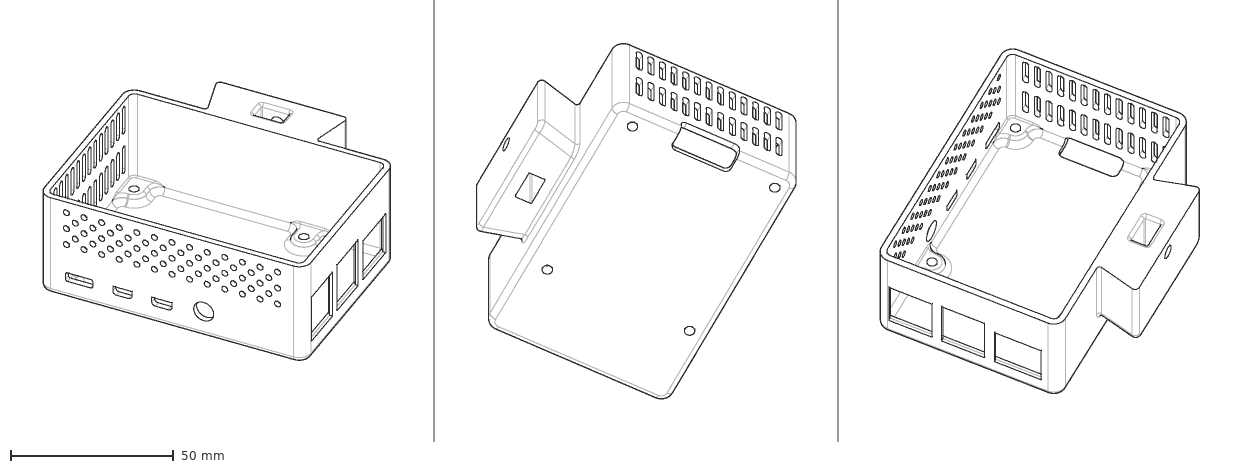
import cadquery as cq
import math


length = 91.0
width = 63.0
height = 36.2
corner_radius = 4.0
bottom_radius = 2.0
end_wall = 2.1
side_wall = 2.0
floor = 2.0
cavity_radius = 2.0
floor_fillet = 1.9

screw_left_x = -39.6
screw_front_y = -25.6
screw_pitch_x = 58.0
screw_pitch_y = 49.0
screw_diameter = 3.2
boss_radius = 4.1
boss_height = 3.0
boss_top_fillet = 1.0
boss_flare = 3.5
boss_wall_fillet = 0.55

vent_diameter = 2.0
vent_columns = 13
vent_rows = 5
vent_pitch = 6.0
vent_top_offset = 4.0

slot_width = 2.0
slot_length = 10.0
slot_count = 13
slot_pitch = 4.0
slot_rows_z = (14.4, 29.3)

port_bottom = 6.5
power_x = -31.7
power_width = 9.3
power_height = 3.2
power_radius = 0.7
video_ports = ((-16.9, 6.55), (-3.5, 6.9))
video_height = 3.0
video_radius = 1.3
jack_x = 10.8
jack_z = 9.6
jack_diameter = 6.8

windows = ((17.1, 16.0, 20.9), (-1.6, 14.7, 23.6), (-19.7, 14.7, 22.9))
window_bottom = 6.4
bevel_side = 1.5
bevel_top = 1.8
bevel_bottom = 0.2
bevel_depth = 1.1

notch_y = -0.5
notch_width = 20.0
notch_depth = 7.6
notch_height = 4.9
notch_radius = 1.8

lug_reach = 15.0
lug_height = 26.2
lug_half_width = 22.6
lug_flare_angle = 15.0
lug_bottom_radius = 3.0
lug_rim_radius = 1.5
lug_root_radius = 1.0
lug_hole_width = 9.65
lug_hole_length = 5.6
lug_hole_y = 38.6
lug_hole_radius = 0.4
lug_hole_rim = 1.1
lug_bore_x = 0.7
lug_bore_diameter = 4.4
lug_bore_drop = 5.4

left = -length / 2
front = -width / 2
back = width / 2
lug_back = back + lug_reach
lug_bottom = height - lug_height
cavity_x = length / 2 - end_wall
cavity_y = width / 2 - side_wall
boss_top = floor + boss_height
boss_places = [
    (x, y)
    for x in (screw_left_x, screw_left_x + screw_pitch_x)
    for y in (screw_front_y, screw_front_y + screw_pitch_y)
]
tolerance = 0.01


def box_between(x0, x1, y0, y1, z0, z1):
    """Box spanning the given ranges."""
    return cq.Workplane("XY").box(x1 - x0, y1 - y0, z1 - z0, centered=False).translate((x0, y0, z0))


def inside(x0, x1, y0, y1, z0, z1):
    """Selector for whatever lies wholly within the given ranges."""
    low = (x0 - tolerance, y0 - tolerance, z0 - tolerance)
    high = (x1 + tolerance, y1 + tolerance, z1 + tolerance)
    return cq.selectors.BoxSelector(low, high, boundingbox=True)


def make_block():
    block = box_between(left, -left, front, back, 0, height)
    return block.edges("|Z").fillet(corner_radius).faces("<Z").edges().fillet(bottom_radius)


def make_lug():
    """Dovetail-shaped lug, started inside the back wall so that it joins the block."""
    root_y = back - side_wall / 2
    root_half_width = lug_half_width - (lug_back - root_y) * math.tan(math.radians(lug_flare_angle))
    outline = [
        (-root_half_width, root_y),
        (-lug_half_width, lug_back),
        (lug_half_width, lug_back),
        (root_half_width, root_y),
    ]
    lug = cq.Workplane("XY", origin=(0, 0, lug_bottom)).polyline(outline).close().extrude(lug_height)
    lug = lug.faces("<Z").edges("not |X").fillet(lug_bottom_radius)
    return lug.faces(">Y").edges("not >Z").fillet(lug_rim_radius)


def blend_lug_root(body):
    """Round the seam where the lug meets the flat back wall."""
    seam = inside(-lug_half_width, lug_half_width, back, back, lug_bottom, height)
    return body.edges(seam).edges("not (>Z and |X)").fillet(lug_root_radius)


def cut_lug_hole(body):
    """Rectangular hole down through the lug with a rounded mouth, plus a round bore from behind."""
    x = lug_hole_width / 2
    y0 = lug_hole_y - lug_hole_length / 2
    y1 = lug_hole_y + lug_hole_length / 2
    hole = box_between(-x, x, y0, y1, lug_bottom, height).edges("|Z").fillet(lug_hole_radius)
    body = body.cut(hole)
    body = body.edges(inside(-x, x, y0, y1, height, height)).fillet(lug_hole_rim)
    bore = (
        cq.Workplane("XZ", origin=(lug_bore_x, lug_back, height - lug_bore_drop))
        .circle(lug_bore_diameter / 2)
        .extrude(lug_back - lug_hole_y)
    )
    return body.cut(bore)


def make_boss(x, y):
    """Boss that flares into the nearer long wall, and into the left wall where it stands in a corner."""
    side = math.copysign(1, y)
    wall_y = side * cavity_y
    flare_y = wall_y - side * boss_flare
    foot_y = side * back
    tip_y = y - side * boss_radius
    flare_mid = boss_flare * (1 - math.sqrt(0.5))
    round_mid = boss_radius * math.sqrt(0.5)
    x1 = x + boss_radius
    outline = (
        cq.Workplane("XY", origin=(0, 0, floor / 2))
        .moveTo(x1 + boss_flare, foot_y)
        .lineTo(x1 + boss_flare, wall_y)
        .threePointArc((x1 + flare_mid, wall_y - side * flare_mid), (x1, flare_y))
        .lineTo(x1, y)
        .threePointArc((x + round_mid, y - side * round_mid), (x, tip_y))
    )
    if x == screw_left_x:
        flare_end_y = tip_y - side * boss_flare
        outline = (
            outline.lineTo(boss_flare - cavity_x, tip_y)
            .threePointArc((flare_mid - cavity_x, tip_y - side * flare_mid), (-cavity_x, flare_end_y))
            .lineTo(left, flare_end_y)
            .lineTo(left, foot_y)
        )
    else:
        x0 = x - boss_radius
        outline = (
            outline.threePointArc((x - round_mid, y - side * round_mid), (x0, y))
            .lineTo(x0, flare_y)
            .threePointArc((x0 - flare_mid, wall_y - side * flare_mid), (x0 - boss_flare, wall_y))
            .lineTo(x0 - boss_flare, foot_y)
        )
    boss = outline.close().extrude(boss_top - floor / 2)
    free_rim = inside(-cavity_x, cavity_x, -cavity_y, cavity_y, boss_top, boss_top)
    return boss.edges(free_rim).fillet(boss_top_fillet)


def make_cavity():
    """Solid that fills the cavity around the bosses."""
    cavity = box_between(-cavity_x, cavity_x, -cavity_y, cavity_y, floor, height)
    cavity = cavity.edges("|Z").fillet(cavity_radius)
    for x, y in boss_places:
        cavity = cavity.cut(make_boss(x, y))
    cavity = cavity.faces("<Z").edges().fillet(floor_fillet)
    front_seams = inside(-cavity_x, cavity_x, -cavity_y, -cavity_y, boss_top, boss_top)
    back_seams = inside(-cavity_x, cavity_x, cavity_y, cavity_y, boss_top, boss_top)
    left_seams = inside(-cavity_x, -cavity_x, -cavity_y, cavity_y, boss_top, boss_top)
    return cavity.edges(front_seams + back_seams + left_seams).fillet(boss_wall_fillet)


def make_screw_holes():
    return cq.Workplane("XY").pushPoints(boss_places).circle(screw_diameter / 2).extrude(boss_top)


def on_front(x, z):
    """Workplane on the front wall; a negative extrusion runs into the case."""
    return cq.Workplane("XZ", origin=(x, front, z))


def make_front_vents():
    vents = cq.Workplane("XY")
    for row in range(vent_rows):
        count = vent_columns - row % 2
        points = [((i - (count - 1) / 2) * vent_pitch, 0) for i in range(count)]
        row_z = height - vent_top_offset - row * vent_pitch / 2
        vents = vents.add(on_front(0, row_z).pushPoints(points).circle(vent_diameter / 2).extrude(-side_wall))
    return vents.combine()


def make_power_port():
    port = on_front(power_x, port_bottom + power_height / 2).rect(power_width, power_height)
    return port.extrude(-side_wall).edges("|Y").fillet(power_radius)


def make_video_port(x, port_width):
    port = on_front(x, port_bottom + video_height / 2).rect(port_width, video_height)
    return port.extrude(-side_wall).edges("|Y and <Z").fillet(video_radius)


def make_jack_hole():
    return on_front(jack_x, jack_z).circle(jack_diameter / 2).extrude(-side_wall)


def make_left_slots():
    points = [((i - (slot_count - 1) / 2) * slot_pitch, z) for i in range(slot_count) for z in slot_rows_z]
    wall = cq.Workplane("YZ", origin=(left, 0, 0)).pushPoints(points)
    return wall.slot2D(slot_length, slot_width, 90).extrude(end_wall)


def make_notch():
    y0 = notch_y - notch_width / 2
    notch = box_between(left, left + notch_depth, y0, y0 + notch_width, 0, notch_height)
    notch = notch.edges("|Z and >X").fillet(notch_radius)
    return notch.edges("|X and >Z").fillet(notch_radius)


def make_window(y, opening_width, top):
    """Opening through the right wall that widens toward the cavity."""
    opening_height = top - window_bottom
    bevel_shift = (bevel_top - bevel_bottom) / 2
    inner_face = cq.Workplane("YZ", origin=(cavity_x, y, window_bottom + opening_height / 2))
    opening = inner_face.rect(opening_width, opening_height).extrude(end_wall)
    bevel = (
        inner_face.center(0, bevel_shift)
        .rect(opening_width + 2 * bevel_side, opening_height + bevel_top + bevel_bottom)
        .workplane(offset=bevel_depth)
        .center(0, -bevel_shift)
        .rect(opening_width, opening_height)
        .loft()
    )
    return opening.union(bevel)


result = blend_lug_root(make_block().union(make_lug()))
result = cut_lug_hole(result)
result = result.cut(make_cavity()).cut(make_screw_holes())
result = result.cut(make_front_vents()).cut(make_power_port()).cut(make_jack_hole())
for port in video_ports:
    result = result.cut(make_video_port(*port))
result = result.cut(make_left_slots()).cut(make_notch())
for window in windows:
    result = result.cut(make_window(*window))